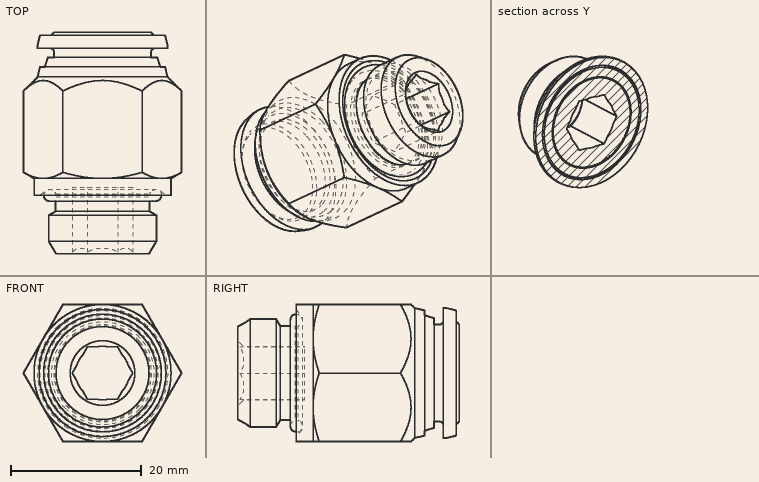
import cadquery as cq
import math

LENGTH = 33.9
HEX_FLATS = 21.0
HEX_CORNER_RADIUS = HEX_FLATS / math.sqrt(3)

THREAD_RADIUS = 8.27
THREAD_TIP_RADIUS = 7.12
THREAD_TIP_LENGTH = 1.93
THREAD_END = 5.85
NECK_RADIUS = 7.22
NECK_START = 6.5

FLANGE_RADIUS = HEX_FLATS / 2
FLANGE_START = 8.95
RECESS_RADIUS = 9.73
RECESS_FLOOR_RADIUS = 8.48
RECESS_DEPTH = 0.95
RING_OUTER_RADIUS = 9.02
RING_OVERLAP = 0.05
RING_TUBE_RADIUS = (RING_OUTER_RADIUS - NECK_RADIUS + RING_OVERLAP) / 2
RING_CENTRE_RADIUS = RING_OUTER_RADIUS - RING_TUBE_RADIUS

HEX_START = 11.53
FRONT_CUT_ANGLE = 30
HEX_END = 27.05
HEX_END_RADIUS = 9.95

COLLAR_END = 28.6
COLLAR_END_RADIUS = 9.6
STEP_RADIUS = 8.85
STEP_END = 30.05
STEP_END_RADIUS = 8.4

BUTTON_NECK_RADIUS = 7.45
BUTTON_START = 31.43
BUTTON_NECK_FILLET = 0.5
BUTTON_RADIUS = 9.95
BUTTON_RIM_END = 31.95
BUTTON_END = 33.45
BUTTON_END_RADIUS = 9.6
BUTTON_EDGE_FILLET = 0.27
BUTTON_HUB_RADIUS = 7.85
BUTTON_TOP_RADIUS = 7.42

SOCKET_FLATS = 8.0
SOCKET_CORNER_RADIUS = SOCKET_FLATS / math.sqrt(3)
SOCKET_BORE_RADIUS = 4.1
SOCKET_DEPTH = 10.17
SOCKET_MOUTH_RADIUS = 4.95
COUNTERSINK_ANGLE = 45


def revolve(points):
    """Solid of revolution about Y from (radius, y) points."""
    return cq.Workplane("XY").polyline(points).close().revolve(360, (0, 0), (0, 1))


def fillet_circle(solid, radius, y, fillet_radius):
    """Fillet the circular edge of the given radius at height y along the axis."""
    margin = 0.05
    inside = radius - margin
    outside = radius + margin
    edges = [
        edge for edge in solid.edges("%CIRCLE").vals()
        if inside < edge.radius() < outside and abs(edge.Center().y - y) < margin
    ]
    return solid.newObject(edges).fillet(fillet_radius)


def hexagon(corner_radius, start, end):
    """Hexagonal prism along Y with two corners on the X axis."""
    base = cq.Workplane("XZ", origin=(0, start, 0))
    return base.polygon(6, 2 * corner_radius).extrude(start - end)


def make_spigot():
    return revolve([
        (0, 0),
        (THREAD_TIP_RADIUS, 0),
        (THREAD_RADIUS, THREAD_TIP_LENGTH),
        (THREAD_RADIUS, THREAD_END),
        (NECK_RADIUS, NECK_START),
        (NECK_RADIUS, HEX_START),
        (0, HEX_START),
    ])


def make_flange():
    return revolve([
        (0, FLANGE_START + RECESS_DEPTH),
        (RECESS_FLOOR_RADIUS, FLANGE_START + RECESS_DEPTH),
        (RECESS_RADIUS, FLANGE_START),
        (FLANGE_RADIUS, FLANGE_START),
        (FLANGE_RADIUS, HEX_START),
        (0, HEX_START),
    ])


def make_ring():
    section = cq.Workplane("XY").center(RING_CENTRE_RADIUS, FLANGE_START).circle(RING_TUBE_RADIUS)
    return section.revolve(360, (-RING_CENTRE_RADIUS, 0), (-RING_CENTRE_RADIUS, 1))


def make_hex_body():
    outer = HEX_CORNER_RADIUS + 0.35
    front_cut = (outer - FLANGE_RADIUS) * math.tan(math.radians(FRONT_CUT_ANGLE))
    rear_cut = outer - HEX_END_RADIUS
    envelope = revolve([
        (0, HEX_START),
        (FLANGE_RADIUS, HEX_START),
        (outer, HEX_START + front_cut),
        (outer, HEX_END - rear_cut),
        (HEX_END_RADIUS, HEX_END),
        (0, HEX_END),
    ])
    return hexagon(HEX_CORNER_RADIUS, HEX_START, HEX_END).intersect(envelope)


def make_rear():
    blank = revolve([
        (0, HEX_END),
        (HEX_END_RADIUS, HEX_END),
        (COLLAR_END_RADIUS, COLLAR_END),
        (STEP_RADIUS, COLLAR_END),
        (STEP_END_RADIUS, STEP_END),
        (BUTTON_NECK_RADIUS, STEP_END),
        (BUTTON_NECK_RADIUS, BUTTON_START),
        (BUTTON_RADIUS, BUTTON_START),
        (BUTTON_RADIUS, BUTTON_RIM_END),
        (BUTTON_END_RADIUS, BUTTON_END),
        (BUTTON_HUB_RADIUS, BUTTON_END),
        (BUTTON_TOP_RADIUS, LENGTH),
        (0, LENGTH),
    ])
    blank = fillet_circle(blank, BUTTON_NECK_RADIUS, BUTTON_START, BUTTON_NECK_FILLET)
    return fillet_circle(blank, BUTTON_END_RADIUS, BUTTON_END, BUTTON_EDGE_FILLET)


def make_socket():
    countersink_depth = SOCKET_MOUTH_RADIUS / math.tan(math.radians(COUNTERSINK_ANGLE))
    countersink = revolve([(0, 0), (SOCKET_MOUTH_RADIUS, 0), (0, countersink_depth)])
    bore = revolve([
        (0, 0),
        (SOCKET_BORE_RADIUS, 0),
        (SOCKET_BORE_RADIUS, SOCKET_DEPTH),
        (0, SOCKET_DEPTH),
    ])
    return hexagon(SOCKET_CORNER_RADIUS, 0, SOCKET_DEPTH).union(bore).union(countersink)


body = make_spigot().union(make_flange()).union(make_hex_body()).union(make_rear())
result = body.union(make_ring()).cut(make_socket())